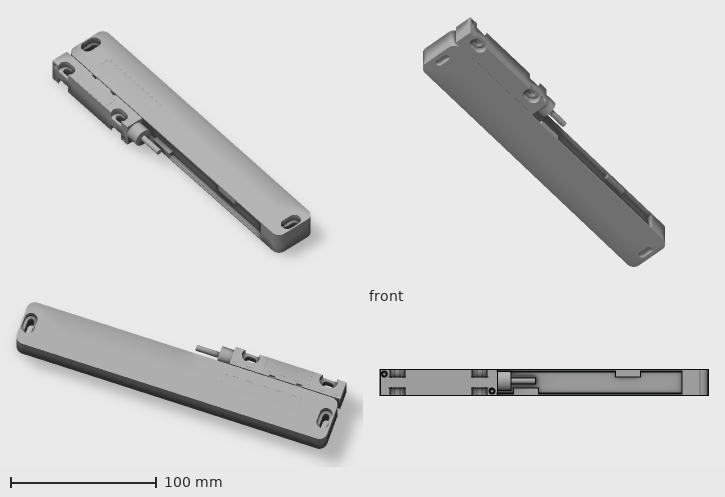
import cadquery as cq

LENGTH = 225.0
HEIGHT = 18.0
TOTAL_WIDTH = 46.0
MARKING_DEPTH = 0.11

HOUSING_WIDTH = 32.2
HOUSING_FRONT = TOTAL_WIDTH - HOUSING_WIDTH
HOUSING_MIDDLE = HOUSING_FRONT + HOUSING_WIDTH / 2
HOUSING_CORNER = 5.6

HOUSING_SLOT_WIDTH = 5.0
HOUSING_SLOT_LENGTH = 11.2
HOUSING_SEAT_MARGIN = 2.0
HOUSING_SEAT_WALL = 1.01
HOUSING_SEAT_DEPTH = 5.5

LABEL_LEFT = 23.8
LABEL_LENGTH = 57.4
LABEL_FRONT = 21.2
LABEL_WIDTH = 9.7
LABEL_CORNER = 2.2

CHANNEL_INSET = 18.0
CHANNEL_DEPTH = 3.4
CHANNEL_LIP = 1.1
CHANNEL_STEP = 0.7
CHANNEL_MOUTH_DEPTH = 1.0

TAB_LENGTH = 17.0
TAB_HEIGHT = 5.5
LOWER_TAB_LEFT = 91.5
UPPER_TAB_LEFT = 161.3

HEAD_LENGTH = 80.3
HEAD_WIDTH = 13.0
LEDGE_WIDTH = 1.8

BAY_LEFT = 23.8
BAY_RIGHT = 56.2
BAY_RAMP = 1.8
PANEL_MARGIN = 0.5
PANEL_WIDTH = 9.5

NOTCH_RADIUS = 2.2
NOTCH_LENGTH = 1.4
NOTCH_CENTRES = (30.0, 49.7)

HEAD_SLOT_WIDTH = 5.0
HEAD_SLOT_LENGTH = 8.0
HEAD_SLOT_Y = 4.3
HEAD_SLOT_CENTRES = (12.0, 68.2)
HEAD_SEAT_WIDTH = 9.0
HEAD_SEAT_LENGTH = 12.8
HEAD_SEAT_Y = 3.2
HEAD_SEAT_DEPTH = 5.5

SCREW_HOLE_RADIUS = 2.0
SCREW_HOLE_DEPTH = 1.1
SCREW_CONE_RADIUS = 1.4
SCREW_CONE_DEPTH = 1.4
SCREW_HOLE_INSET = 3.2
SCREW_HOLE_LEFT = 3.0
SCREW_HOLE_RIGHT = 76.7

CABLE_Y = HEAD_WIDTH / 2
CABLE_Z = 10.1
GLAND_RADIUS = HEAD_WIDTH / 2
GLAND_LENGTH = 9.2
CABLE_RADIUS = 2.0
CABLE_LENGTH = 17.0


def box(left, front, bottom, right, rear, top):
    """Box between two opposite corners."""
    size = (right - left, rear - front, top - bottom)
    return cq.Workplane("XY").box(*size, centered=False).translate((left, front, bottom))


def slot(x, y, bottom, top, length, width, angle):
    """Vertical round-ended slot; angle 0 lies along X, 90 along Y."""
    outline = cq.Workplane("XY", origin=(x, y, bottom)).slot2D(length, width, angle)
    return outline.extrude(top - bottom)


def housing_block():
    block = box(0, HOUSING_FRONT, 0, LENGTH, TOTAL_WIDTH, HEIGHT)
    return block.edges("|Z").fillet(HOUSING_CORNER)


def housing_slots():
    cuts = cq.Workplane("XY")
    seat_length = HOUSING_SLOT_LENGTH + 2 * HOUSING_SEAT_MARGIN
    seat_width = HOUSING_SLOT_WIDTH + 2 * HOUSING_SEAT_MARGIN
    end_inset = HOUSING_SEAT_WALL + seat_width / 2
    for x in (end_inset, LENGTH - end_inset):
        cuts = cuts.add(slot(x, HOUSING_MIDDLE, 0, HEIGHT, HOUSING_SLOT_LENGTH, HOUSING_SLOT_WIDTH, 90))
        cuts = cuts.add(
            slot(x, HOUSING_MIDDLE, HEIGHT - HOUSING_SEAT_DEPTH, HEIGHT, seat_length, seat_width, 90)
        )
    return cuts.combine()


def label_recess():
    recess = box(
        LABEL_LEFT, LABEL_FRONT, HEIGHT - MARKING_DEPTH,
        LABEL_LEFT + LABEL_LENGTH, LABEL_FRONT + LABEL_WIDTH, HEIGHT,
    )
    return recess.edges("|Z").fillet(LABEL_CORNER)


def front_channel():
    """Stepped channel in the front face, with a lower and an upper tab left standing in it."""
    left = CHANNEL_INSET
    right = LENGTH - CHANNEL_INSET
    rear = HOUSING_FRONT + CHANNEL_DEPTH
    step = HOUSING_FRONT + CHANNEL_MOUTH_DEPTH
    inner_lip = CHANNEL_LIP + CHANNEL_STEP
    mouth = box(left, HOUSING_FRONT, CHANNEL_LIP, right, step, HEIGHT - CHANNEL_LIP)
    back = box(left, HOUSING_FRONT, inner_lip, right, rear, HEIGHT - inner_lip)
    lower_tab = box(LOWER_TAB_LEFT, HOUSING_FRONT, 0, LOWER_TAB_LEFT + TAB_LENGTH, rear, TAB_HEIGHT)
    upper_tab = box(
        UPPER_TAB_LEFT, HOUSING_FRONT, HEIGHT - TAB_HEIGHT, UPPER_TAB_LEFT + TAB_LENGTH, rear, HEIGHT
    )
    return mouth.union(back).cut(lower_tab).cut(upper_tab)


def make_housing():
    return housing_block().cut(housing_slots()).cut(label_recess()).cut(front_channel())


def top_relief():
    """Shallow bay with sloped ends, joined to the ledge along the rear edge."""
    floor = HEIGHT - MARKING_DEPTH
    bay = (
        cq.Workplane("XZ")
        .moveTo(BAY_LEFT - BAY_RAMP, HEIGHT)
        .lineTo(BAY_LEFT, floor)
        .lineTo(BAY_RIGHT, floor)
        .lineTo(BAY_RIGHT + BAY_RAMP, HEIGHT)
        .close()
        .extrude(-HEAD_WIDTH)
    )
    ledge = box(0, HEAD_WIDTH - LEDGE_WIDTH, floor, HEAD_LENGTH, HEAD_WIDTH, HEIGHT)
    return bay.union(ledge)


def panel():
    """Thin raised panel on the bay floor."""
    return box(
        BAY_LEFT + PANEL_MARGIN, PANEL_MARGIN, HEIGHT - MARKING_DEPTH,
        BAY_RIGHT - PANEL_MARGIN, PANEL_MARGIN + PANEL_WIDTH, HEIGHT,
    )


def rear_notches():
    """Half-round notches across the top of the rear edge."""
    centres = [(x, HEIGHT - MARKING_DEPTH) for x in NOTCH_CENTRES]
    plane = cq.Workplane("XZ", origin=(0, HEAD_WIDTH, 0))
    return plane.pushPoints(centres).circle(NOTCH_RADIUS).extrude(NOTCH_LENGTH)


def head_slots():
    """Mounting slots, counterbored from the top and from the bottom."""
    cuts = cq.Workplane("XY")
    for x in HEAD_SLOT_CENTRES:
        cuts = cuts.add(slot(x, HEAD_SLOT_Y, 0, HEIGHT, HEAD_SLOT_LENGTH, HEAD_SLOT_WIDTH, 0))
        for bottom in (0, HEIGHT - HEAD_SEAT_DEPTH):
            cuts = cuts.add(
                slot(
                    x, HEAD_SEAT_Y, bottom, bottom + HEAD_SEAT_DEPTH,
                    HEAD_SEAT_LENGTH, HEAD_SEAT_WIDTH, 0,
                )
            )
    return cuts.combine()


def screw_holes():
    """Blind holes with a conical bottom in the front face, near two opposite corners."""
    centres = [(SCREW_HOLE_LEFT, HEIGHT - SCREW_HOLE_INSET), (SCREW_HOLE_RIGHT, SCREW_HOLE_INSET)]
    holes = cq.Workplane("XZ").pushPoints(centres).circle(SCREW_HOLE_RADIUS).extrude(-SCREW_HOLE_DEPTH)
    for x, z in centres:
        cone = cq.Solid.makeCone(
            SCREW_CONE_RADIUS, 0, SCREW_CONE_DEPTH,
            pnt=cq.Vector(x, SCREW_HOLE_DEPTH, z), dir=cq.Vector(0, 1, 0),
        )
        holes = holes.union(cq.Workplane(cone))
    return holes


def cable_outlet():
    plane = cq.Workplane("YZ", origin=(HEAD_LENGTH, CABLE_Y, CABLE_Z))
    gland = plane.circle(GLAND_RADIUS).extrude(GLAND_LENGTH)
    return gland.faces(">X").workplane().circle(CABLE_RADIUS).extrude(CABLE_LENGTH)


def make_reading_head():
    block = box(0, 0, 0, HEAD_LENGTH, HEAD_WIDTH, HEIGHT)
    block = block.cut(top_relief()).union(panel())
    block = block.cut(rear_notches()).cut(head_slots()).cut(screw_holes())
    return block.union(cable_outlet())


housing = make_housing()
reading_head = make_reading_head()

result = cq.Compound.makeCompound([housing.val(), reading_head.val()])